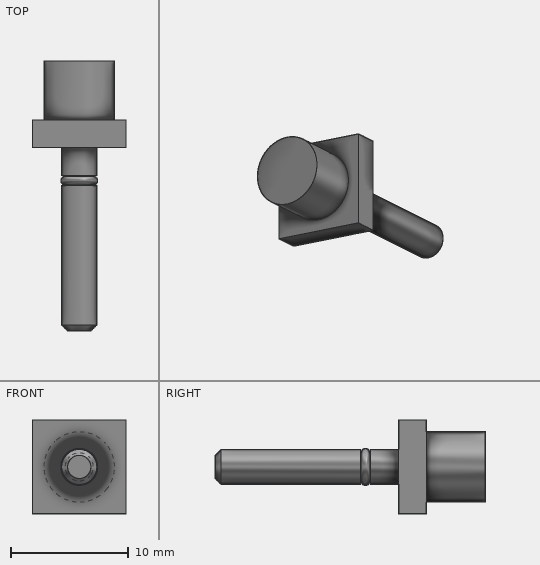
import cadquery as cq

total_length = 23.0
flange_side = 8.0
flange_thickness = 2.37
head_diameter = 6.0
head_length = 5.01
pin_diameter = 3.0
tip_chamfer = 0.5

groove_offset = 2.4
groove_width = 0.85
groove_depth = 0.3
ring_section_radius = 0.37
ring_outer_diameter = 3.15

tip_y = -total_length / 2
head_end_y = total_length / 2
flange_back_y = head_end_y - head_length
flange_front_y = flange_back_y - flange_thickness
groove_start_y = flange_front_y - groove_offset
groove_end_y = groove_start_y - groove_width


def make_head_and_flange():
    flange = cq.Workplane("XY").box(flange_side, flange_thickness, flange_side)
    flange = flange.translate((0, (flange_front_y + flange_back_y) / 2, 0))
    head = cq.Workplane("XZ", origin=(0, head_end_y, 0)).circle(head_diameter / 2).extrude(head_length)
    return flange.union(head)


def make_pin():
    """Turned pin with a chamfered tip and a square-sided groove."""
    radius = pin_diameter / 2
    groove_floor = radius - groove_depth
    profile = (
        cq.Workplane("XY")
        .moveTo(0, flange_front_y)
        .lineTo(radius, flange_front_y)
        .lineTo(radius, groove_start_y)
        .lineTo(groove_floor, groove_start_y)
        .lineTo(groove_floor, groove_end_y)
        .lineTo(radius, groove_end_y)
        .lineTo(radius, tip_y + tip_chamfer)
        .lineTo(radius - tip_chamfer, tip_y)
        .lineTo(0, tip_y)
        .close()
    )
    return profile.revolve(360, (0, 0, 0), (0, 1, 0))


def make_ring():
    """O-ring whose inner edge sinks into the groove floor."""
    section_x = ring_outer_diameter / 2 - ring_section_radius
    section_y = (groove_start_y + groove_end_y) / 2
    section = cq.Workplane("XY").center(section_x, section_y).circle(ring_section_radius)
    return section.revolve(360, (-section_x, 0, 0), (-section_x, 1, 0))


result = make_head_and_flange().union(make_pin()).union(make_ring())